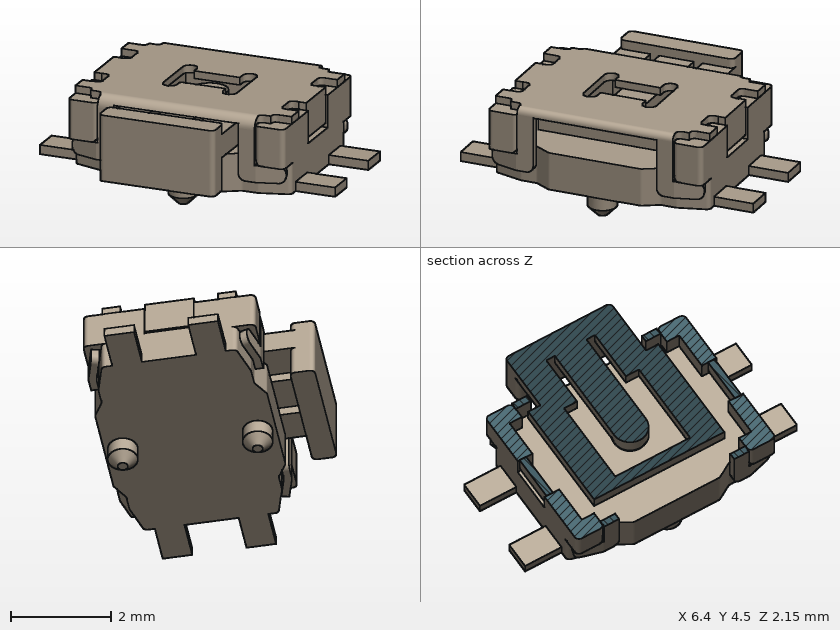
import cadquery as cq
import math

HOUSING_HALF_X = 2.34
HOUSING_HALF_Y = 1.75
TOP_Z = 1.65
SHEET = 0.16
WALL_TOP = TOP_Z - SHEET
FLOOR_Z = 0.8
EDGE_ROUND = 0.1

WALL = 0.35
POST_X = 0.64
POST_Y = 0.39
FOOT_TOP = 0.65
POST_CHAMFER = 0.09
END_RECESS = 0.2
LEG_INNER_X = 1.35
BEND_X = 1.73
NOSE_HALF_X = 1.01
FOOT_ANGLE = math.radians(16)
WINDOW_Y = 1.0
TERMINAL_REACH = 3.2
TERMINAL_WIDTH = 0.6
TERMINAL_HEIGHT = 0.2
TERMINAL_Y = 0.85
PEG_DIAMETER = 0.6
PEG_LENGTH = 0.5
PEG_CHAMFER = 0.2
PEG_Y = 1.37

LEG_OUTER_X = HOUSING_HALF_X - POST_X
FRONT_BEND_RADIUS = 0.25
BACK_BEND_RADIUS = 0.14
CORNER_CUT = 0.39
CORNER_CUT_DEPTH = 0.255
SIDE_CUT_INNER_Y = 0.49
SIDE_CUT_OUTER_Y = 0.99
TAB_INSET = 0.045
TAB_BOTTOM = 0.89
FOOT_BOTTOM = 0.295
FOOT_REACH = 0.615
FOOT_ROUND = 0.155
SLOT_X = 0.645
SLOT_WIDTH = 0.3
SLOT_LENGTH = 1.3
BRIDGE_LENGTH = 0.71

BUTTON_HALF_X = 1.25
BUTTON_DEPTH = 0.5
BUTTON_HEIGHT = 1.4
STROKE_GAP = 0.505
ARM_BOTTOM = 0.955
ARM_TOP = 1.45
FINGER_WIDTH = 0.755
FINGER_GAP = 0.19
FINGER_TIP_Y = -0.02
BOSS_BOTTOM_RADIUS = 0.33
BOSS_TAPER_TOP = 0.895
FRAME_HALF_X = 1.535
FRAME_FRONT_Y = -1.41
FRAME_BACK_Y = 1.09
OPENING_HALF_X = 0.88
OPENING_FRONT_Y = -1.09
OPENING_BACK_Y = 0.83


def box(x0, x1, y0, y1, z0, z1):
    """Axis-aligned block between two opposite corners."""
    return cq.Workplane("XY").box(x1 - x0, y1 - y0, z1 - z0, centered=False).translate((x0, y0, z0))


def four_quadrants(corner):
    """The shape in the -X -Y corner together with its mirror images."""
    pair = corner.union(corner.mirror("YZ"))
    return pair.union(pair.mirror("XZ"))


def housing_base():
    """Floor block; its ends step back behind the cover legs and slant behind the feet."""
    recess_y = HOUSING_HALF_Y - END_RECESS
    slant_x = BEND_X - END_RECESS * math.tan(FOOT_ANGLE / 2)
    slant_y = recess_y - (HOUSING_HALF_X - slant_x) * math.tan(FOOT_ANGLE)
    quarter = [
        (HOUSING_HALF_X, slant_y),
        (slant_x, recess_y),
        (LEG_INNER_X, recess_y),
        (NOSE_HALF_X, HOUSING_HALF_Y),
    ]
    back_half = quarter + [(-x, y) for x, y in reversed(quarter)]
    outline = back_half + [(-x, -y) for x, y in back_half]
    return cq.Workplane("XY").polyline(outline).close().extrude(FLOOR_Z).edges("|Z").fillet(EDGE_ROUND)


def corner_post():
    """Post in the -X -Y corner, ending above the cover foot."""
    x0, y0 = -HOUSING_HALF_X, -HOUSING_HALF_Y
    post = box(x0, x0 + POST_X, y0, y0 + POST_Y, FOOT_TOP, WALL_TOP)
    post = post.edges("|Z and <Y").fillet(EDGE_ROUND)
    chamfer_cut = (
        cq.Workplane("XZ", origin=(x0 + POST_X, y0, FOOT_TOP))
        .polyline([(0, 0), (-POST_CHAMFER, 0), (0, POST_CHAMFER)]).close()
        .extrude(-SHEET)
    )
    return post.cut(chamfer_cut)


def side_walls():
    """Walls along both long sides, each with a window for a cover tab."""
    post_back = HOUSING_HALF_Y - POST_Y
    inner_x = HOUSING_HALF_X - WALL
    wall = box(-HOUSING_HALF_X, -inner_x, -post_back, post_back, FOOT_TOP, WALL_TOP)
    window = box(-HOUSING_HALF_X, -inner_x, -WINDOW_Y / 2, WINDOW_Y / 2, FLOOR_Z, WALL_TOP)
    wall = wall.cut(window)
    return wall.union(wall.mirror("YZ"))


def terminals():
    """Four flat terminals, moulded into the housing at its seating plane."""
    y0 = -TERMINAL_Y - TERMINAL_WIDTH / 2
    inner_x = HOUSING_HALF_X - WALL
    return four_quadrants(
        box(-TERMINAL_REACH, -inner_x, y0, y0 + TERMINAL_WIDTH, 0, TERMINAL_HEIGHT)
    )


def locating_pegs():
    """Two pegs with tapered tips under the housing."""
    return (
        cq.Workplane("XY").pushPoints([(0, -PEG_Y), (0, PEG_Y)])
        .circle(PEG_DIAMETER / 2).extrude(-PEG_LENGTH)
        .faces("<Z").chamfer(PEG_CHAMFER)
    )


def build_housing():
    return (
        housing_base()
        .union(four_quadrants(corner_post()))
        .union(side_walls())
        .union(terminals())
        .union(locating_pegs())
    )


def cover_shell():
    """Sheet bent down at both ends: a wide bend in front and a tight one at the back."""
    outer = (
        box(-HOUSING_HALF_X, HOUSING_HALF_X, -HOUSING_HALF_Y, HOUSING_HALF_Y, FOOT_BOTTOM, TOP_Z)
        .edges("|X and >Z and <Y").fillet(FRONT_BEND_RADIUS)
        .edges("|X and >Z and >Y").fillet(BACK_BEND_RADIUS)
    )
    inner_y = HOUSING_HALF_Y - SHEET
    inner = (
        box(-HOUSING_HALF_X, HOUSING_HALF_X, -inner_y, inner_y, FOOT_BOTTOM, WALL_TOP)
        .edges("|X and >Z and <Y").fillet(FRONT_BEND_RADIUS - SHEET)
    )
    return outer.cut(inner)


def end_openings():
    """Clears both bent-down ends between their legs, whose lower inner corners are rounded."""
    between_legs = box(-LEG_INNER_X, LEG_INNER_X, -HOUSING_HALF_Y, HOUSING_HALF_Y, FOOT_BOTTOM, WALL_TOP)
    return between_legs.union(four_quadrants(leg_corner_waste()))


def leg_corner_waste():
    """Material outside the rounded lower inner corner of a leg."""
    r = FOOT_ROUND
    x, y, z = -LEG_INNER_X, -HOUSING_HALF_Y, FOOT_BOTTOM
    square = box(x - r, x, y, y + SHEET, z, z + r)
    rounding = cq.Workplane("XZ", origin=(x - r, y, z + r)).circle(r).extrude(-SHEET)
    return square.cut(rounding)


def corner_cutout():
    """Cutout over the post in the -X -Y corner, through the sheet and its bend."""
    x0, y0 = -HOUSING_HALF_X, -HOUSING_HALF_Y
    square = box(x0, x0 + CORNER_CUT, y0, y0 + CORNER_CUT, WALL_TOP, TOP_Z)
    strip = box(x0, x0 + POST_X, y0, y0 + CORNER_CUT_DEPTH, WALL_TOP, TOP_Z)
    square = square.edges("|Z and >X and >Y").fillet(EDGE_ROUND)
    strip = strip.edges("|Z and >X and >Y").fillet(EDGE_ROUND)
    bend_end = box(x0, x0 + POST_X, y0, y0 + CORNER_CUT_DEPTH, FOOT_BOTTOM, WALL_TOP)
    return square.union(strip).union(bend_end)


def side_cutout():
    """Cutout in the sheet beside the -X tab, on its -Y side."""
    x0 = -HOUSING_HALF_X
    return (
        box(x0, x0 + CORNER_CUT, -SIDE_CUT_OUTER_Y, -SIDE_CUT_INNER_Y, WALL_TOP, TOP_Z)
        .edges("|Z and >X").fillet(EDGE_ROUND)
    )


def tab_edge_trim():
    """Strips that set the sheet back to the outer faces of the two tabs."""
    x0 = -HOUSING_HALF_X
    trim = box(x0, x0 + TAB_INSET, -WINDOW_Y / 2, WINDOW_Y / 2, WALL_TOP, TOP_Z)
    return trim.union(trim.mirror("YZ"))


def cover_window():
    """H-shaped window over the slider finger."""
    slots = (
        cq.Workplane("XY", origin=(0, 0, WALL_TOP)).pushPoints([(-SLOT_X, 0), (SLOT_X, 0)])
        .slot2D(SLOT_LENGTH, SLOT_WIDTH, 90).extrude(SHEET)
    )
    return slots.union(box(-SLOT_X, SLOT_X, -BRIDGE_LENGTH / 2, BRIDGE_LENGTH / 2, WALL_TOP, TOP_Z))


def side_tabs():
    """Tabs hanging from the sheet into the side windows of the housing."""
    x0 = -HOUSING_HALF_X + TAB_INSET
    tab = box(x0, x0 + SHEET, -WINDOW_Y / 2, WINDOW_Y / 2, TAB_BOTTOM, TOP_Z)
    return tab.union(tab.mirror("YZ"))


def cover_foot():
    """Foot at the -X -Y corner, folded back from the leg about a vertical line."""
    foot = (
        box(-FOOT_REACH, 0, 0, SHEET, FOOT_BOTTOM, FOOT_TOP)
        .edges("|Y and <X").fillet(FOOT_ROUND)
        .rotate((0, 0, 0), (0, 0, 1), -math.degrees(FOOT_ANGLE))
        .translate((-BEND_X, -HOUSING_HALF_Y, 0))
    )
    inner_fold = SHEET * math.tan(FOOT_ANGLE / 2)
    root = (
        cq.Workplane("XY", origin=(0, -HOUSING_HALF_Y, FOOT_BOTTOM))
        .polyline([
            (-BEND_X, 0),
            (-LEG_OUTER_X, 0),
            (-LEG_OUTER_X, SHEET),
            (-BEND_X + inner_fold, SHEET),
        ]).close()
        .extrude(FOOT_TOP - FOOT_BOTTOM)
    )
    return foot.union(root)


def build_cover():
    return (
        cover_shell()
        .cut(end_openings())
        .cut(four_quadrants(corner_cutout()))
        .cut(four_quadrants(side_cutout()))
        .cut(tab_edge_trim())
        .cut(cover_window())
        .union(side_tabs())
        .union(four_quadrants(cover_foot()))
    )


def slider_button():
    """Push plate in front of the housing."""
    front_y = -HOUSING_HALF_Y - STROKE_GAP - BUTTON_DEPTH
    return (
        box(-BUTTON_HALF_X, BUTTON_HALF_X, front_y, front_y + BUTTON_DEPTH, TOP_Z - BUTTON_HEIGHT, TOP_Z)
        .edges("|Z").fillet(EDGE_ROUND)
    )


def slider_plate():
    """Two arms that widen into a frame inside the housing, around the open middle."""
    arm_end_y = -HOUSING_HALF_Y - STROKE_GAP - EDGE_ROUND
    arm_inner_x = FINGER_WIDTH / 2 + FINGER_GAP
    arms = box(-BUTTON_HALF_X, BUTTON_HALF_X, arm_end_y, FRAME_FRONT_Y, ARM_BOTTOM, ARM_TOP)
    frame = box(-FRAME_HALF_X, FRAME_HALF_X, FRAME_FRONT_Y, FRAME_BACK_Y, ARM_BOTTOM, ARM_TOP)
    gap = box(
        -arm_inner_x, arm_inner_x, -HOUSING_HALF_Y - STROKE_GAP, OPENING_FRONT_Y, ARM_BOTTOM, ARM_TOP
    )
    opening = box(
        -OPENING_HALF_X, OPENING_HALF_X, OPENING_FRONT_Y, OPENING_BACK_Y, ARM_BOTTOM, ARM_TOP
    )
    return arms.union(frame).cut(gap).cut(opening)


def slider_finger():
    """Middle arm with a rounded end and a tapered boss that stands on the housing floor."""
    radius = FINGER_WIDTH / 2
    root_y = -HOUSING_HALF_Y - STROKE_GAP - EDGE_ROUND
    bar = box(-radius, radius, root_y, FINGER_TIP_Y, ARM_BOTTOM, ARM_TOP)
    tip = (
        cq.Workplane("XY", origin=(0, FINGER_TIP_Y, BOSS_TAPER_TOP)).circle(radius)
        .extrude(ARM_TOP - BOSS_TAPER_TOP)
    )
    boss = (
        cq.Workplane("XY", origin=(0, FINGER_TIP_Y, FLOOR_Z)).circle(BOSS_BOTTOM_RADIUS)
        .workplane(offset=BOSS_TAPER_TOP - FLOOR_Z).circle(radius).loft()
    )
    return bar.union(tip).union(boss)


def build_slider():
    return slider_button().union(slider_plate()).union(slider_finger())


housing = build_housing()
cover = build_cover()
slider = build_slider()

result = cq.Compound.makeCompound([body.solids().val() for body in (housing, cover, slider)])